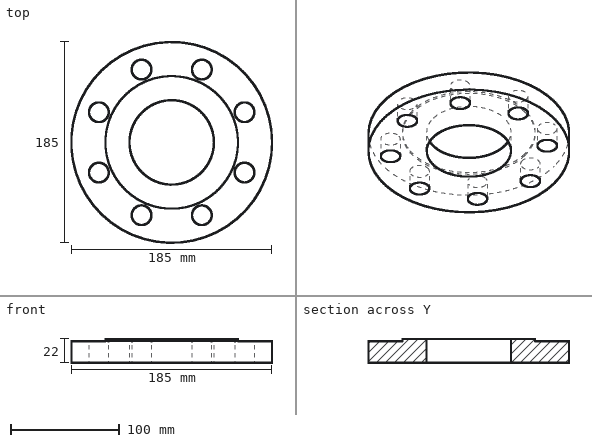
import cadquery as cq

outer_diameter = 185.0
total_height = 22.0
face_height = 2.0
plate_thickness = total_height - face_height

face_diameter = 122.1
bore_diameter = 77.5

bolt_count = 8
bolt_circle_diameter = 145.0
bolt_hole_diameter = 18.0
bolt_spacing = 360.0 / bolt_count
first_bolt_angle = bolt_spacing / 2

plate = cq.Workplane("XY").circle(outer_diameter / 2).extrude(plate_thickness)

raised_face = (
    cq.Workplane("XY")
    .workplane(offset=plate_thickness)
    .circle(face_diameter / 2)
    .extrude(face_height)
)

bore = cq.Workplane("XY").circle(bore_diameter / 2).extrude(total_height)

bolt_holes = (
    cq.Workplane("XY")
    .polarArray(bolt_circle_diameter / 2, first_bolt_angle, 360, bolt_count)
    .circle(bolt_hole_diameter / 2)
    .extrude(plate_thickness)
)

result = plate.union(raised_face).cut(bore).cut(bolt_holes)